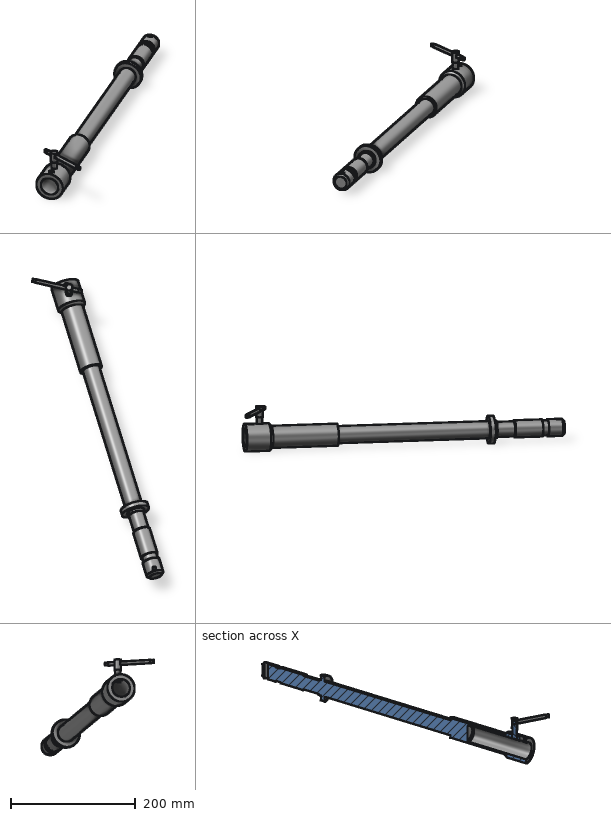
import cadquery as cq

length = 519.5
rod_radius = 28.0 / 2
tip_chamfer = 3.5

pin_hole_distance = 8.0
pin_hole_radius = 3.0
groove_start = 26.5
groove_end = 36.0
groove_radius = 25.0 / 2
relief_start = 80.0
relief_end = 110.5
flange_start = 115.0
flange_end = 123.0

sleeve_radius = 18.0
sleeve_end = 150.0
collar_radius = 45.0 / 2
collar_end = 38.5
collar_taper = collar_radius - sleeve_radius
socket_radius = 29.0 / 2
socket_floor_chamfer = 2.0
socket_depth = flange_start
side_hole_y = 9.5
side_hole_radius = 3.95

screw_y = 24.0
screw_radius = 4.5
screw_head_radius = 11.0 / 2
screw_head_bottom = 33.5
screw_top = 50.0

bar_angle = -30
bar_radius = 3.0
bar_end_radius = 2.55
bar_end_length = 5.5
bar_z = 44.5
bar_short_reach = 21.0
bar_long_reach = 60.0


def vertical_cylinder(radius, y, bottom, top):
    return cq.Workplane("XY", origin=(0, y, bottom)).circle(radius).extrude(top - bottom)


def bar_cylinder(radius, start, end):
    """Cylinder along the tommy bar axis between two distances from the screw axis."""
    cylinder = cq.Workplane("YZ", origin=(start, 0, 0)).circle(radius).extrude(end - start)
    return cylinder.rotate((0, 0, 0), (0, 0, 1), bar_angle).translate((0, screw_y, bar_z))


def make_spindle():
    relief_taper = rod_radius - groove_radius
    profile = [
        (0, 0),
        (collar_radius, 0),
        (collar_radius, collar_end),
        (sleeve_radius, collar_end + collar_taper),
        (sleeve_radius, sleeve_end),
        (rod_radius, sleeve_end),
        (rod_radius, length - flange_end),
        (collar_radius, length - flange_end),
        (collar_radius, length - flange_start),
        (rod_radius, length - flange_start),
        (rod_radius, length - relief_end),
        (groove_radius, length - relief_end),
        (groove_radius, length - relief_start - relief_taper),
        (rod_radius, length - relief_start),
        (rod_radius, length - groove_end),
        (groove_radius, length - groove_end),
        (groove_radius, length - groove_start),
        (rod_radius, length - groove_start),
        (rod_radius, length - tip_chamfer),
        (rod_radius - tip_chamfer, length),
        (0, length),
    ]
    body = cq.Workplane("XY").polyline(profile).close().revolve(360, (0, 0, 0), (0, 1, 0))
    socket = cq.Workplane("XZ").circle(socket_radius).extrude(-socket_depth)
    socket = socket.faces(">Y").chamfer(socket_floor_chamfer)
    pin_hole = vertical_cylinder(pin_hole_radius, length - pin_hole_distance, -rod_radius, rod_radius)
    side_hole = vertical_cylinder(side_hole_radius, side_hole_y, 0, collar_radius)
    screw_hole = vertical_cylinder(screw_radius, screw_y, 0, collar_radius)
    return body.cut(socket).cut(pin_hole).cut(side_hole).cut(screw_hole)


def make_screw():
    shank = vertical_cylinder(screw_radius, screw_y, socket_radius, screw_head_bottom)
    head = vertical_cylinder(screw_head_radius, screw_y, screw_head_bottom, screw_top)
    cross_hole = bar_cylinder(bar_radius, -bar_short_reach, bar_long_reach)
    return shank.union(head).cut(cross_hole)


def make_bar():
    shaft = bar_cylinder(bar_radius, bar_end_length - bar_short_reach, bar_long_reach - bar_end_length)
    core = bar_cylinder(bar_end_radius, -bar_short_reach, bar_long_reach)
    return shaft.union(core)


spindle = make_spindle()
screw = make_screw()
bar = make_bar()

result = cq.Compound.makeCompound([spindle.val(), screw.val(), bar.val()])